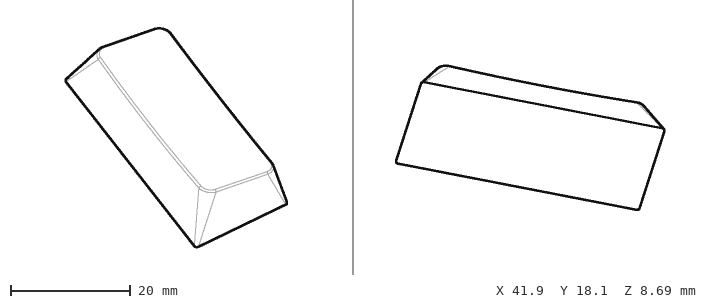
import cadquery as cq
import math

base_length = 41.91
base_width = 18.1
base_corner_radius = 0.5

top_length = 35.9
top_front_y = -5.25
top_back_y = 8.85
top_front_z = 8.84
top_tilt = 11.0
top_corner_radius = 2.15

dish_depth = 0.55
rim_radius = 0.4
dish_overrun = 10.0

top_run = top_back_y - top_front_y
top_width = top_run / math.cos(math.radians(top_tilt))
top_centre_y = (top_front_y + top_back_y) / 2
top_centre_z = top_front_z - top_run / 2 * math.tan(math.radians(top_tilt))


def tilted_top_plane():
    """Plane of the top outline: local x along X, normal leaning toward +Y."""
    lean = math.radians(top_tilt)
    return cq.Plane(
        origin=(0, top_centre_y, top_centre_z),
        xDir=(1, 0, 0),
        normal=(0, math.sin(lean), math.cos(lean)),
    )


def rounded_rectangle(length, width, corner_radius):
    """Centred rectangle with rounded corners."""
    return cq.Sketch().rect(length, width).vertices().fillet(corner_radius)


def tapered_body():
    """Straight-walled loft from the flat base to the tilted top."""
    base = rounded_rectangle(base_length, base_width, base_corner_radius)
    top = rounded_rectangle(top_length, top_width, top_corner_radius)
    top_location = cq.Location(tilted_top_plane())
    return cq.Workplane("XY").placeSketch(base, top.moved(top_location)).loft(ruled=True)


def dish_cutter():
    """Cylinder running front to back that touches both ends of the top outline."""
    half_chord = top_length / 2
    dish_radius = (half_chord**2 + dish_depth**2) / (2 * dish_depth)
    cutter_length = top_width + 2 * dish_overrun
    top_plane = tilted_top_plane()
    start = top_plane.toWorldCoords((0, -cutter_length / 2, dish_radius - dish_depth))
    return cq.Workplane(obj=cq.Solid.makeCylinder(dish_radius, cutter_length, start, top_plane.yDir))


def round_rim(body):
    """Round the whole edge loop of the dished top face."""
    return body.faces(">Z").edges().fillet(rim_radius)


result = round_rim(tapered_body().cut(dish_cutter()))